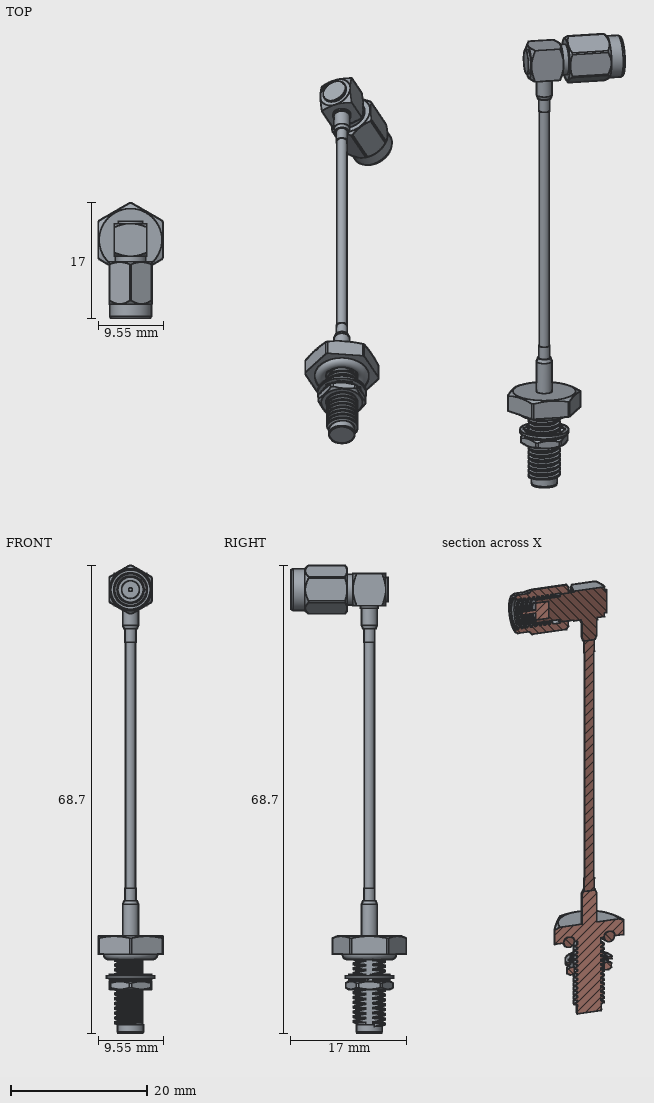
import cadquery as cq
import math


TOTAL_HEIGHT = 68.7
TOTAL_DEPTH = 17.0

FLANGE_ACROSS_FLATS = 9.55
FLANGE_TURNED_RADIUS = 5.4
FLANGE_BOTTOM_Z = 11.6
FLANGE_TOP_Z = 14.3
FLANGE_FACE_RADIUS = 4.6
FLANGE_DROP = 0.35
JACK_TIP_RADIUS = 1.9
JACK_TIP_LENGTH = 1.25
JACK_TIP_CHAMFER = 0.2
CORE_RADIUS = 1.85
FLAT_X = 1.8

THREAD_RADIUS = 2.35
THREAD_START_Z = 1.2
THREAD_LENGTH = 9.9
THREAD_TURNS = 14
THREAD_PITCH = THREAD_LENGTH / THREAD_TURNS
THREAD_CREST = 0.2
THREAD_BASE = 0.6
THREAD_EMBED = 0.15

SEAL_TUBE_RADIUS = 0.8
SEAL_OUTER_RADIUS = 4.0
SEAL_RADIUS = SEAL_OUTER_RADIUS - SEAL_TUBE_RADIUS

NUT_ACROSS_FLATS = 6.25
NUT_TURNED_RADIUS = 3.5
NUT_FACE_RADIUS = 3.0
NUT_DROP = 0.3
NUT_BOTTOM_Z = 6.4
NUT_TOP_Z = 7.6
WASHER_RADIUS = 3.6
WASHER_RING_RADIUS = 2.9
WASHER_BOTTOM_Z = 8.05
WASHER_THICKNESS = 0.4
WASHER_TEETH = 10
TOOTH_WIDTH = 0.8
TOOTH_THICKNESS = 0.3
TOOTH_TWIST = 40.0
TOOTH_OVERLAP = 0.2

CABLE_RADIUS = 0.75
CABLE_END_RADIUS = 0.8
FERRULE_RADIUS = 1.2
FERRULE_TIP_RADIUS = 0.95
FERRULE_TAPER = 0.8
LOWER_FERRULE_TOP_Z = 19.45
LOWER_CABLE_END_Z = 21.3
UPPER_CABLE_END_Z = 57.4
UPPER_FERRULE_BOTTOM_Z = 59.35

COUPLING_ACROSS_FLATS = 6.3
COUPLING_TURNED_RADIUS = 3.6
COUPLING_FACE_RADIUS = 3.1
COUPLING_BACK_DROP = 0.35
COUPLING_FRONT_DROP = 0.55
PLUG_Z = TOTAL_HEIGHT - COUPLING_TURNED_RADIUS
PLUG_FRONT_Y = FLANGE_TURNED_RADIUS - TOTAL_DEPTH
COUPLING_BACK_Y = -3.2
COUPLING_HEX_FRONT_Y = -9.5
COUPLING_SLEEVE_RADIUS = 3.1
SLEEVE_TIP_RADIUS = 2.9
SLEEVE_TIP_TAPER = 0.35
COUPLING_WEB = 1.4
COUPLING_CREST_RADIUS = 2.0
MOUTH_RADIUS = 2.5
MOUTH_DEPTH = 0.2
COUPLING_THREAD_TURNS = 8
BLOCK_HALF = 2.4
BLOCK_CORNER_DEPTH = 0.55
BLOCK_CORNER_RADIUS = BLOCK_HALF * math.sqrt(2)
CAP_RADIUS = 1.8
CAP_BACK_Y = 2.75
NECK_RADIUS = 2.3
BARREL_RADIUS = 1.85
BARREL_RECESS = 3.1
COLLAR_RADIUS = 1.3
COLLAR_HEIGHT = 0.35
INSERT_RADIUS = 1.3
INSERT_LENGTH = 2.05
PIN_RADIUS = 0.3
PIN_LENGTH = 2.05
BARREL_FRONT = -PLUG_FRONT_Y - BARREL_RECESS
NECK_FRONT = -COUPLING_BACK_Y + COUPLING_WEB


def turned(points):
    """Solid of revolution about Z from an outline of (radius, z) points closed along the axis."""
    return cq.Workplane("XZ").polyline(points).close().revolve(360, (0, 0, 0), (0, 1, 0))


def disc(radius, bottom, top):
    return cq.Workplane("XY").workplane(offset=bottom).circle(radius).extrude(top - bottom)


def hexagon(across_flats, bottom, top):
    """Hexagonal prism along Z with two flats facing +X and -X."""
    across_corners = across_flats / math.cos(math.radians(30))
    prism = cq.Workplane("XY").workplane(offset=bottom).polygon(6, across_corners).extrude(top - bottom)
    return prism.rotate((0, 0, 0), (0, 0, 1), 30)


def turned_hexagon(across_flats, turned_radius, bottom, top, bottom_face, bottom_drop, top_face, top_drop):
    """Hexagonal prism with its corners turned down and each end coned to a face radius over a drop."""
    envelope = turned([
        (0, bottom),
        (bottom_face, bottom),
        (turned_radius, bottom + bottom_drop),
        (turned_radius, top - top_drop),
        (top_face, top),
        (0, top),
    ])
    return hexagon(across_flats, bottom, top).intersect(envelope)


def thread_ridge(wall_radius, crest_radius, start, turns):
    """Right-handed helical ridge about Z, rooted inside the wall it stands on."""
    toward_wall = math.copysign(1, wall_radius - crest_radius)
    root_radius = wall_radius + toward_wall * THREAD_EMBED
    path = cq.Wire.makeHelix(THREAD_PITCH, turns * THREAD_PITCH, wall_radius)
    ridge = (
        cq.Workplane("XZ")
        .polyline([
            (root_radius, -THREAD_BASE / 2),
            (crest_radius, -THREAD_CREST / 2),
            (crest_radius, THREAD_CREST / 2),
            (root_radius, THREAD_BASE / 2),
        ])
        .close()
        .sweep(cq.Workplane(obj=path), isFrenet=True)
    )
    return ridge.translate((0, 0, start))


def onto_plug_axis(body):
    """Carries a body built along +Z onto the plug axis, with its +Z end toward -Y."""
    return body.rotate((0, 0, 0), (1, 0, 0), 90).translate((0, 0, PLUG_Z))


def make_seal():
    ring = cq.Solid.makeTorus(SEAL_RADIUS, SEAL_TUBE_RADIUS)
    return cq.Workplane(obj=ring.translate(cq.Vector(0, 0, FLANGE_BOTTOM_Z)))


def ferrule(root_z, tip_z):
    """Crimp ferrule on the cable from root_z to a tapered tip at tip_z."""
    toward_root = math.copysign(0.7, root_z - tip_z)
    return turned([
        (0, root_z),
        (FERRULE_RADIUS, root_z),
        (FERRULE_RADIUS, tip_z + toward_root * FERRULE_TAPER),
        (FERRULE_TIP_RADIUS, tip_z),
        (0, tip_z),
    ])


def make_jack(seal):
    tip = disc(JACK_TIP_RADIUS, 0, JACK_TIP_LENGTH).faces("<Z").chamfer(JACK_TIP_CHAMFER)
    core = disc(CORE_RADIUS, 0, FLANGE_BOTTOM_Z)
    ridge = thread_ridge(CORE_RADIUS, THREAD_RADIUS, THREAD_START_Z, THREAD_TURNS)
    barrel = core.union(ridge)
    flat_width = 2 * THREAD_RADIUS
    flat_cutter = cq.Workplane("XY").box(
        THREAD_RADIUS, flat_width, FLANGE_BOTTOM_Z, centered=(False, True, False)
    )
    barrel = barrel.cut(flat_cutter.translate((FLAT_X, 0, 0)))
    flange_envelope = turned([
        (0, FLANGE_BOTTOM_Z),
        (FLANGE_TURNED_RADIUS, FLANGE_BOTTOM_Z),
        (FLANGE_TURNED_RADIUS, FLANGE_TOP_Z - FLANGE_DROP),
        (FLANGE_FACE_RADIUS, FLANGE_TOP_Z),
        (0, FLANGE_TOP_Z),
    ])
    flange = hexagon(FLANGE_ACROSS_FLATS, FLANGE_BOTTOM_Z, FLANGE_TOP_Z).intersect(flange_envelope)
    flange = flange.cut(seal)
    return tip.union(barrel).union(flange).union(ferrule(FLANGE_TOP_Z, LOWER_FERRULE_TOP_Z))


def make_panel_nut():
    nut = turned_hexagon(
        NUT_ACROSS_FLATS, NUT_TURNED_RADIUS, NUT_BOTTOM_Z, NUT_TOP_Z,
        NUT_FACE_RADIUS, NUT_DROP, NUT_FACE_RADIUS, NUT_DROP,
    )
    return nut.cut(disc(THREAD_RADIUS, NUT_BOTTOM_Z, NUT_TOP_Z))


def make_washer():
    middle_z = WASHER_BOTTOM_Z + WASHER_THICKNESS / 2
    top_z = WASHER_BOTTOM_Z + WASHER_THICKNESS
    opening = disc(WASHER_RING_RADIUS, WASHER_BOTTOM_Z, top_z)
    washer = disc(WASHER_RADIUS, WASHER_BOTTOM_Z, top_z).cut(opening)
    tooth_length = WASHER_RING_RADIUS + TOOTH_OVERLAP - THREAD_RADIUS
    tooth = (
        cq.Workplane("XY")
        .box(tooth_length, TOOTH_WIDTH, TOOTH_THICKNESS, centered=(False, True, True))
        .rotate((0, 0, 0), (1, 0, 0), TOOTH_TWIST)
        .translate((THREAD_RADIUS, 0, middle_z))
    )
    for index in range(WASHER_TEETH):
        washer = washer.union(tooth.rotate((0, 0, 0), (0, 0, 1), index * 360 / WASHER_TEETH))
    return washer


def make_cable():
    lower_end = disc(CABLE_END_RADIUS, LOWER_FERRULE_TOP_Z, LOWER_CABLE_END_Z)
    jacket = disc(CABLE_RADIUS, LOWER_CABLE_END_Z, UPPER_CABLE_END_Z)
    upper_end = disc(CABLE_END_RADIUS, UPPER_CABLE_END_Z, UPPER_FERRULE_BOTTOM_Z)
    return lower_end.union(jacket).union(upper_end)


def make_elbow():
    block = cq.Workplane("XY").box(2 * BLOCK_HALF, 2 * BLOCK_HALF, 2 * BLOCK_HALF)
    envelope = turned([
        (0, -BLOCK_HALF),
        (BLOCK_HALF, -BLOCK_HALF),
        (BLOCK_CORNER_RADIUS, BLOCK_CORNER_DEPTH - BLOCK_HALF),
        (BLOCK_CORNER_RADIUS, BLOCK_HALF - BLOCK_CORNER_DEPTH),
        (BLOCK_HALF, BLOCK_HALF),
        (0, BLOCK_HALF),
    ])
    cap = disc(CAP_RADIUS, -CAP_BACK_Y, 0)
    neck = disc(NECK_RADIUS, 0, NECK_FRONT)
    barrel = disc(BARREL_RADIUS, 0, BARREL_FRONT)
    insert_bore = disc(INSERT_RADIUS, BARREL_FRONT - INSERT_LENGTH, BARREL_FRONT)
    body = block.intersect(envelope).union(cap).union(neck).union(barrel)
    elbow = onto_plug_axis(body.cut(insert_bore))
    block_bottom_z = PLUG_Z - BLOCK_HALF
    collar = disc(COLLAR_RADIUS, block_bottom_z - COLLAR_HEIGHT, block_bottom_z)
    return elbow.union(collar).union(ferrule(block_bottom_z, UPPER_FERRULE_BOTTOM_Z))


def make_insert():
    insulator = disc(INSERT_RADIUS, BARREL_FRONT - INSERT_LENGTH, BARREL_FRONT)
    pin = disc(PIN_RADIUS, BARREL_FRONT, BARREL_FRONT + PIN_LENGTH)
    return onto_plug_axis(insulator.union(pin))


def make_coupling_nut():
    back = -COUPLING_BACK_Y
    hex_front = -COUPLING_HEX_FRONT_Y
    front = -PLUG_FRONT_Y
    body = turned_hexagon(
        COUPLING_ACROSS_FLATS, COUPLING_TURNED_RADIUS, back, hex_front,
        COUPLING_FACE_RADIUS, COUPLING_BACK_DROP, COUPLING_SLEEVE_RADIUS, COUPLING_FRONT_DROP,
    )
    sleeve = turned([
        (0, hex_front),
        (COUPLING_SLEEVE_RADIUS, hex_front),
        (COUPLING_SLEEVE_RADIUS, front - SLEEVE_TIP_TAPER),
        (SLEEVE_TIP_RADIUS, front),
        (0, front),
    ])
    bore = turned([
        (0, NECK_FRONT),
        (THREAD_RADIUS, NECK_FRONT),
        (THREAD_RADIUS, front - MOUTH_DEPTH),
        (MOUTH_RADIUS, front),
        (0, front),
    ])
    thread_top = front - MOUTH_DEPTH - THREAD_BASE / 2
    ridge = thread_ridge(
        THREAD_RADIUS, COUPLING_CREST_RADIUS,
        thread_top - COUPLING_THREAD_TURNS * THREAD_PITCH, COUPLING_THREAD_TURNS,
    )
    neck_hole = disc(NECK_RADIUS, back, NECK_FRONT)
    nut = body.union(sleeve).cut(neck_hole).cut(bore).union(ridge)
    return onto_plug_axis(nut)


seal = make_seal()
jack = make_jack(seal)
washer = make_washer()
panel_nut = make_panel_nut()
cable = make_cable()
elbow = make_elbow()
insert = make_insert()
coupling_nut = make_coupling_nut()
result = cq.Compound.makeCompound([
    jack.val(),
    seal.val(),
    washer.val(),
    panel_nut.val(),
    cable.val(),
    elbow.val(),
    insert.val(),
    coupling_nut.val(),
])